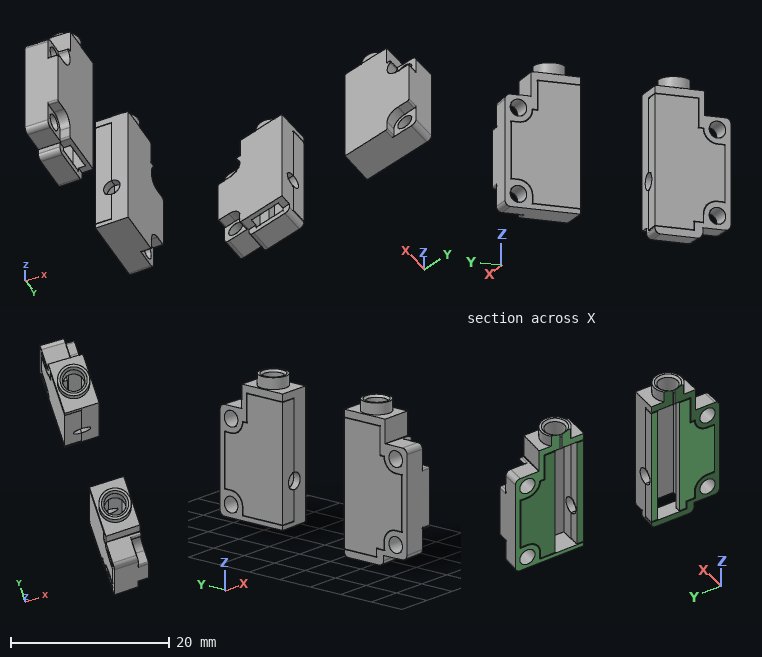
import cadquery as cq
import math


DEPTH = 4.6
DRAFT = 1.0
INNER_OUT = 5.05
NECK_OUT = 11.8
FLANGE_OUT = 15.35
FLANGE_BOTTOM = 1.45
FLANGE_TOP = 16.3
NECK_TOP = 19.55
CORNER_RADIUS = 0.75
OVERSIZE = 1.55
REACH = 0.3

PIPE_OUT = 8.48
PIPE_TOP = 21.13
PIPE_DIAMETER = 4.1
BORE_DIAMETER = 2.83
BORE_CHAMFER = 0.3
MID_DEPTH = DEPTH / 2

SCREW_DIAMETER = 2.2
SCREW_OUT = 13.5
SCREW_LOW = 3.22
SCREW_HIGH = 14.62
NOTCH_START = 3.2
NOTCH_RADIUS = 1.72
NOTCH_EDGE_RADIUS = 0.25

TAB_OUT = 11.52
TAB_DEPTH = 3.05
TAB_FLOOR = 0.98

COVER_DEPTH = 2.25
CLEARANCE = 0.05
POCKET_TOP = 18.52
POCKET_FLOOR = 2.12
POCKET_NECK_OUT = 10.95
POCKET_FLANGE_OUT = 14.55
POCKET_ARC_RADIUS = 1.87
CAVITY_OUT = 10.38
INNER_WALL = 1.05
BACK_WALL = 0.6
COVER_PLATE = 0.6
RIB_DEPTH = 1.75
RIB_OUT = 9.3

WINDOW_DIAMETER = 2.3
WINDOW_Z = 7.5

CAVITY_IN = INNER_OUT + INNER_WALL
CAVITY_END = DEPTH - BACK_WALL


def block(side, x_range, out_range, z_range):
    """Box given by its X, out and Z ranges, on the +Y (side = 1) or -Y (side = -1) side."""
    x0, x1 = x_range
    out0, out1 = out_range
    z0, z1 = z_range
    return (
        cq.Workplane("XY")
        .box(x1 - x0, out1 - out0, z1 - z0)
        .translate(((x0 + x1) / 2, side * (out0 + out1) / 2, (z0 + z1) / 2))
    )


def rod_along_x(side, out, z, diameter, x_range):
    """Cylinder parallel to X."""
    x0, x1 = x_range
    return (
        cq.Workplane("YZ", origin=(x0, side * out, z))
        .circle(diameter / 2)
        .extrude(x1 - x0)
    )


def window(side):
    """Rod that cuts the window through the inner wall of a housing and its cover."""
    return (
        cq.Workplane("XZ", origin=(MID_DEPTH, side * INNER_OUT, WINDOW_Z))
        .circle(WINDOW_DIAMETER / 2)
        .extrude(-side * INNER_WALL)
    )


def drafted_prism(side, outline, depth):
    """Outline of (out, z) points extruded along X with drafted sides."""
    return (
        cq.Workplane("YZ")
        .polyline([(side * out, z) for out, z in outline])
        .close()
        .extrude(depth, taper=DRAFT)
    )


def neck_and_flange(side):
    """Drafted body of the housing; its top and its inner face carry no draft."""
    outline = [
        (INNER_OUT - OVERSIZE, FLANGE_BOTTOM),
        (FLANGE_OUT, FLANGE_BOTTOM),
        (FLANGE_OUT, FLANGE_TOP),
        (NECK_OUT, FLANGE_TOP),
        (NECK_OUT, NECK_TOP + OVERSIZE),
        (INNER_OUT - OVERSIZE, NECK_TOP + OVERSIZE),
    ]
    straight_limits = block(side, (0, DEPTH), (INNER_OUT, FLANGE_OUT), (FLANGE_BOTTOM, NECK_TOP))
    body = drafted_prism(side, outline, DEPTH).intersect(straight_limits)
    near_flange_side = cq.selectors.BoxSelector(
        (0, side * (FLANGE_OUT - REACH), 0), (DEPTH, side * (FLANGE_OUT + REACH), NECK_TOP)
    )
    return body.edges(near_flange_side).edges("not #X").fillet(CORNER_RADIUS)


def bottom_tab(side):
    """Rounded tab hanging below the flange, reaching up into the housing."""
    top = FLANGE_BOTTOM + OVERSIZE
    outline = [
        (INNER_OUT - OVERSIZE, 0),
        (TAB_OUT, 0),
        (TAB_OUT, top),
        (INNER_OUT - OVERSIZE, top),
    ]
    straight_limits = block(side, (0, TAB_DEPTH), (INNER_OUT, TAB_OUT), (0, top))
    tab = drafted_prism(side, outline, TAB_DEPTH).intersect(straight_limits)
    edge_middle = TAB_DEPTH / 2
    near_bottom = cq.selectors.BoxSelector(
        (edge_middle - REACH, -FLANGE_OUT, -REACH), (edge_middle + REACH, FLANGE_OUT, REACH)
    )
    return tab.edges(near_bottom).fillet(CORNER_RADIUS)


def corner_notches(side):
    """Both corner notches: round around the screw, open to the outside."""
    x_range = (NOTCH_START, DEPTH + OVERSIZE)
    past_flange = FLANGE_OUT + OVERSIZE
    diameter = 2 * NOTCH_RADIUS
    upper = rod_along_x(side, SCREW_OUT, SCREW_HIGH, diameter, x_range).union(
        block(side, x_range, (SCREW_OUT, past_flange), (SCREW_HIGH - NOTCH_RADIUS, FLANGE_TOP + OVERSIZE))
    )
    lower = (
        rod_along_x(side, SCREW_OUT, SCREW_LOW, diameter, x_range)
        .union(block(side, x_range, (SCREW_OUT, past_flange), (-OVERSIZE, SCREW_LOW + NOTCH_RADIUS)))
        .union(block(side, x_range, (SCREW_OUT - NOTCH_RADIUS, past_flange), (-OVERSIZE, SCREW_LOW)))
    )
    return upper.union(lower)


def round_notch_edges(body, side):
    """Round the four edges where the notches run out through the outer sides."""
    top_rise = FLANGE_TOP - SCREW_HIGH
    lip_out = SCREW_OUT - math.sqrt(NOTCH_RADIUS**2 - top_rise**2)
    notch_edges = [
        (lip_out, FLANGE_TOP),
        (FLANGE_OUT, SCREW_HIGH - NOTCH_RADIUS),
        (FLANGE_OUT, SCREW_LOW + NOTCH_RADIUS),
        (SCREW_OUT - NOTCH_RADIUS, FLANGE_BOTTOM),
    ]
    edge_middle = (NOTCH_START + DEPTH) / 2
    for out, z in notch_edges:
        near_edge = cq.selectors.BoxSelector(
            (edge_middle - REACH, side * out - REACH, z - REACH),
            (edge_middle + REACH, side * out + REACH, z + REACH),
        )
        body = body.edges(near_edge).fillet(NOTCH_EDGE_RADIUS)
    return body


def cover_outline(side, gap, has_tab):
    """Outline shared by the pocket (gap = 0) and the cover, which is smaller by the gap."""
    top = POCKET_TOP - gap
    floor = POCKET_FLOOR + gap
    neck_out = POCKET_NECK_OUT - gap
    flange_out = POCKET_FLANGE_OUT - gap
    radius = POCKET_ARC_RADIUS + gap
    diagonal = radius * math.sqrt(0.5)
    arc_out = SCREW_OUT - radius
    step_z = SCREW_HIGH - gap

    def at(out, z):
        return (side * out, z)

    arc_start_out = SCREW_OUT - math.sqrt(radius**2 - gap**2)
    outline = (
        cq.Workplane("YZ")
        .moveTo(*at(INNER_OUT, top))
        .lineTo(*at(neck_out, top))
        .lineTo(*at(neck_out, step_z))
        .lineTo(*at(arc_start_out, step_z))
        .threePointArc(at(SCREW_OUT - diagonal, SCREW_HIGH - diagonal), at(SCREW_OUT, SCREW_HIGH - radius))
        .lineTo(*at(flange_out, SCREW_HIGH - radius))
        .lineTo(*at(flange_out, SCREW_LOW + radius))
        .lineTo(*at(SCREW_OUT, SCREW_LOW + radius))
        .threePointArc(at(SCREW_OUT - diagonal, SCREW_LOW + diagonal), at(arc_out, SCREW_LOW))
        .lineTo(*at(arc_out, floor))
    )
    if has_tab:
        tab_floor = TAB_FLOOR + gap
        outline = (
            outline.lineTo(*at(CAVITY_OUT - gap, floor))
            .lineTo(*at(CAVITY_OUT - gap, tab_floor))
            .lineTo(*at(INNER_OUT, tab_floor))
        )
    else:
        outline = outline.lineTo(*at(INNER_OUT, floor))
    return outline.close()


def pipe(side):
    return (
        cq.Workplane("XY", origin=(MID_DEPTH, side * PIPE_OUT, NECK_TOP))
        .circle(PIPE_DIAMETER / 2)
        .extrude(PIPE_TOP - NECK_TOP)
    )


def pipe_bore(side):
    """Bore from the pipe down into the cavity, flared at the mouth."""
    bore = (
        cq.Workplane("XY", origin=(MID_DEPTH, side * PIPE_OUT, POCKET_TOP))
        .circle(BORE_DIAMETER / 2)
        .extrude(PIPE_TOP - POCKET_TOP)
    )
    mouth = cq.Solid.makeCone(
        BORE_DIAMETER / 2,
        BORE_DIAMETER / 2 + BORE_CHAMFER,
        BORE_CHAMFER,
        pnt=cq.Vector(MID_DEPTH, side * PIPE_OUT, PIPE_TOP - BORE_CHAMFER),
    )
    return bore.union(cq.Workplane(mouth))


def make_housing(side, has_tab):
    body = neck_and_flange(side).cut(corner_notches(side))
    body = round_notch_edges(body, side)
    floor = POCKET_FLOOR
    if has_tab:
        body = body.union(bottom_tab(side))
        floor = TAB_FLOOR
    body = body.union(pipe(side))

    body = body.cut(cover_outline(side, 0, has_tab).extrude(COVER_DEPTH))
    body = body.cut(block(side, (COVER_DEPTH, CAVITY_END), (CAVITY_IN, CAVITY_OUT), (floor, POCKET_TOP)))

    body = body.cut(pipe_bore(side)).cut(window(side))
    for z in (SCREW_LOW, SCREW_HIGH):
        body = body.cut(rod_along_x(side, SCREW_OUT, z, SCREW_DIAMETER, (0, DEPTH)))
    return body


def make_cover(side, has_tab):
    """Plate with a full-depth inner wall and a thick outer part, hollow between them."""
    body = cover_outline(side, CLEARANCE, has_tab).extrude(COVER_DEPTH)
    full_height = (0, NECK_TOP)
    body = body.cut(block(side, (COVER_PLATE, COVER_DEPTH), (CAVITY_IN, RIB_OUT), full_height))
    body = body.cut(block(side, (RIB_DEPTH, COVER_DEPTH), (RIB_OUT, FLANGE_OUT), full_height))
    return body.cut(window(side))


rear_housing = make_housing(1, has_tab=False)
rear_cover = make_cover(1, has_tab=False)
front_housing = make_housing(-1, has_tab=True)
front_cover = make_cover(-1, has_tab=True)

result = cq.Compound.makeCompound(
    [rear_housing.val(), rear_cover.val(), front_housing.val(), front_cover.val()]
)